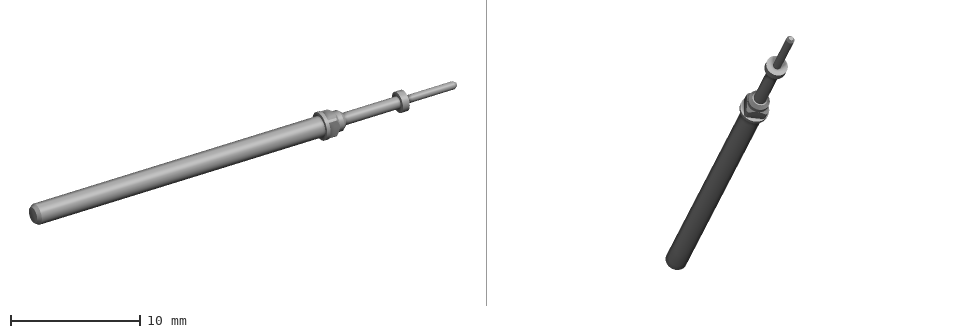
import cadquery as cq


total_length = 37.6
tip_length = 4.6
collar_length = 0.6
stem_length = 4.9
shoulder_length = 0.3
neck_length = 0.4
square_length = 1.0
flange_length = 0.3

tip_diameter = 0.65
collar_diameter = 1.72
stem_diameter = 1.0
shoulder_start_diameter = 1.2
body_diameter = 1.7
flange_diameter = 2.3

across_flats = 1.7
across_corners = 2.2

tip_chamfer_length = 0.25
tip_chamfer_depth = 0.15
rear_chamfer_length = 0.3
rear_chamfer_depth = 0.2

collar_front = total_length - tip_length
collar_rear = collar_front - collar_length
shoulder_front = collar_rear - stem_length
shoulder_rear = shoulder_front - shoulder_length
square_front = shoulder_rear - neck_length
flange_front = square_front - square_length
flange_rear = flange_front - flange_length


def turned(start, end, start_diameter, end_diameter):
    """Solid cylinder or cone frustum on the Y axis, from Y = start to Y = end."""
    profile = [
        (0, start),
        (start_diameter / 2, start),
        (end_diameter / 2, end),
        (0, end),
    ]
    return cq.Workplane("XY").polyline(profile).close().revolve(360, (0, 0, 0), (0, 1, 0))


def barrel():
    """Long rear barrel with a chamfered closed end."""
    end_diameter = body_diameter - 2 * rear_chamfer_depth
    chamfer = turned(0, rear_chamfer_length, end_diameter, body_diameter)
    return chamfer.union(turned(rear_chamfer_length, flange_rear, body_diameter, body_diameter))


def square_section():
    """Square with corners rounded by a cylinder and a 45 degree conical lead-in at the front."""
    lead_in_length = (across_corners - body_diameter) / 2
    lead_in_rear = square_front - lead_in_length
    envelope = turned(flange_front, lead_in_rear, across_corners, across_corners)
    envelope = envelope.union(turned(lead_in_rear, square_front, across_corners, body_diameter))
    square = cq.Workplane("XY").box(across_flats, square_length, across_flats)
    square = square.translate((0, flange_front + square_length / 2, 0))
    return envelope.intersect(square)


def neck():
    """Round neck ahead of the square, ending in a conical shoulder."""
    cylinder = turned(square_front, shoulder_rear, body_diameter, body_diameter)
    shoulder = turned(shoulder_rear, shoulder_front, body_diameter, shoulder_start_diameter)
    return cylinder.union(shoulder)


def plunger():
    """Stem, collar and thin chamfered tip."""
    chamfer_start = total_length - tip_chamfer_length
    end_diameter = tip_diameter - 2 * tip_chamfer_depth
    stem = turned(shoulder_front, collar_rear, stem_diameter, stem_diameter)
    collar = turned(collar_rear, collar_front, collar_diameter, collar_diameter)
    tip = turned(collar_front, chamfer_start, tip_diameter, tip_diameter)
    tip_chamfer = turned(chamfer_start, total_length, tip_diameter, end_diameter)
    return stem.union(collar).union(tip).union(tip_chamfer)


flange = turned(flange_rear, flange_front, flange_diameter, flange_diameter)

result = barrel().union(flange).union(square_section()).union(neck()).union(plunger())